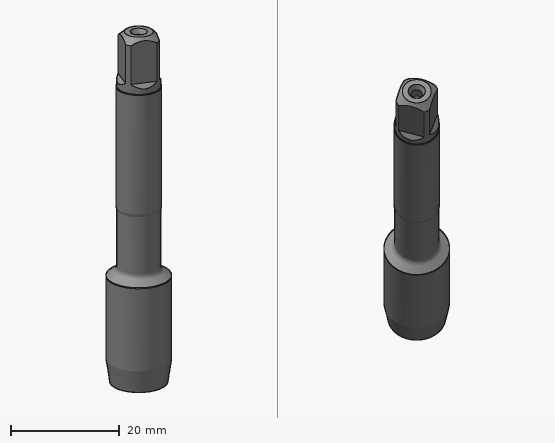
import cadquery as cq
import math

head_diameter = 12.1
head_height = 21.1
lead_height = 4.5
lead_end_diameter = 10.8

total_height = 70.0
neck_diameter = 8.2
shank_diameter = 8.5
shoulder_rim_top = 21.3
shoulder_cone_top = 22.5
neck_fillet_radius = 1.05
neck_step_bottom = 34.5
neck_step_top = 35.15
shank_top = 59.0
shank_chamfer = (shank_diameter - neck_diameter) / 2

square_width = 6.5
square_bottom = 61.05
tip_diameter = 5.3
tip_chamfer_height = 1.25

center_diameter = 2.0
countersink_diameter = 3.15
countersink_angle = 60.0
center_depth = 2.8
drill_point_angle = 120.0


def revolve_profile(points):
    """Solid of revolution about Z from (radius, height) points."""
    return cq.Workplane("XZ").polyline(points).close().revolve(360, (0, 0), (0, 1))


def make_head():
    return revolve_profile([
        (0, 0),
        (lead_end_diameter / 2, 0),
        (head_diameter / 2, lead_height),
        (head_diameter / 2, head_height),
        (0, head_height),
    ])


def make_shank_blank():
    """Round shank with a filleted conical shoulder, a neck and chamfered ends."""
    blank = revolve_profile([
        (0, head_height),
        (head_diameter / 2, head_height),
        (head_diameter / 2, shoulder_rim_top),
        (neck_diameter / 2, shoulder_cone_top),
        (neck_diameter / 2, neck_step_bottom),
        (shank_diameter / 2, neck_step_top),
        (shank_diameter / 2, shank_top),
        (neck_diameter / 2, shank_top + shank_chamfer),
        (neck_diameter / 2, total_height - tip_chamfer_height),
        (tip_diameter / 2, total_height),
        (0, total_height),
    ])
    corner_margin = 0.1
    shoulder_corner = cq.selectors.BoxSelector(
        (-neck_diameter, -neck_diameter, shoulder_cone_top - corner_margin),
        (neck_diameter, neck_diameter, shoulder_cone_top + corner_margin),
    )
    return blank.edges(shoulder_corner).fillet(neck_fillet_radius)


def make_flat_cutter():
    """Cutter for the +X flat, with a 45 degree run-out at its lower end."""
    inner = square_width / 2
    outer = shank_diameter
    runout = outer - inner
    return (
        cq.Workplane("XZ")
        .polyline([
            (inner, square_bottom),
            (outer, square_bottom - runout),
            (outer, total_height),
            (inner, total_height),
        ])
        .close()
        .extrude(shank_diameter / 2, both=True)
    )


def make_center_hole():
    """Countersunk blind hole with a conical drill point."""
    radius = center_diameter / 2
    mouth_radius = countersink_diameter / 2
    sink_depth = (mouth_radius - radius) / math.tan(math.radians(countersink_angle / 2))
    point_depth = radius / math.tan(math.radians(drill_point_angle / 2))
    return revolve_profile([
        (0, total_height),
        (mouth_radius, total_height),
        (radius, total_height - sink_depth),
        (radius, total_height - center_depth),
        (0, total_height - center_depth - point_depth),
    ])


def make_shank():
    shank = make_shank_blank()
    flat_cutter = make_flat_cutter()
    for angle in (0, 90, 180, 270):
        shank = shank.cut(flat_cutter.rotate((0, 0, 0), (0, 0, 1), angle))
    return shank.cut(make_center_hole())


head = make_head()
shank = make_shank()
result = cq.Compound.makeCompound([head.val(), shank.val()])